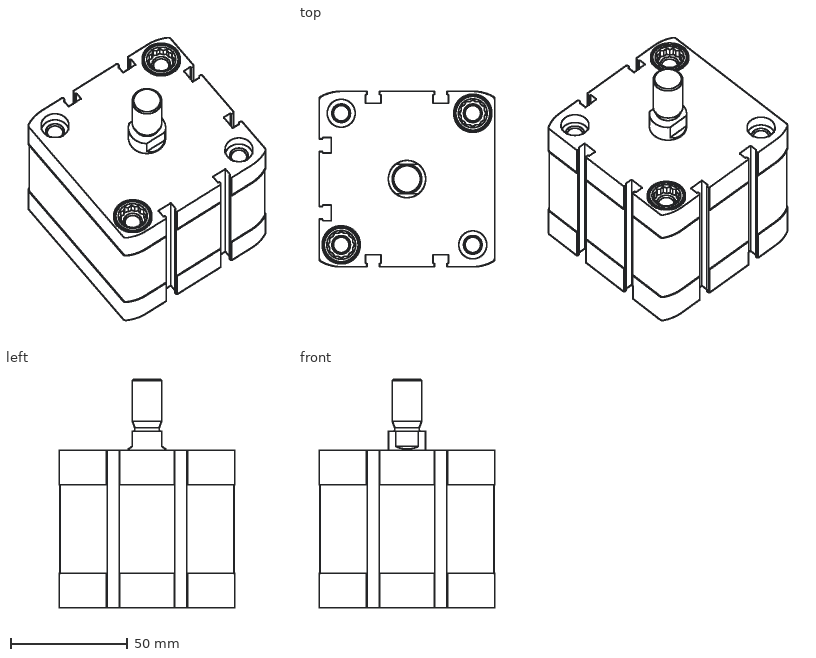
import cadquery as cq
import math

block_width = 75.5
block_height = 67.7
cap_height = 14.85
barrel_inset = 0.3
corner_arc_start = 28.25
corner_arc_radius = 18.0
corner_edge_radius = 1.5

slot_offset = 14.5
slot_mouth_width = 5.2
slot_inner_width = 6.6
slot_depth = 5.15
slot_lip_depth = 1.7
slot_lip_taper = 0.35
slot_mouth_chamfer = 0.3

hole_offset = 28.25
hole_diameter = 6.65
hole_mouth_diameter = 8.0
counterbore_diameter = 12.0
counterbore_depth = 5.0

recess_diameter = 16.4
head_diameter = 15.5
head_chamfer = 0.5
ring_gap_depth = 1.0
socket_depth = 4.3
socket_corner_diameter = 11.4
socket_mouth_diameter = 12.4
socket_mouth_depth = 1.0

rod_diameter = 16.0
shoulder_height = 8.15
flats_width = 12.7
flats_base = 1.6
flats_runout_angle = 33.0
thread_diameter = 12.7
thread_chamfer = 0.65
neck_diameter = 10.6
neck_top = 9.6
neck_foot_radius = 0.4
taper_top = 12.4
overall_height = 98.15
rod_height = overall_height - block_height

block_half = block_width / 2


def block_layer(base, height, inset):
    """Prism of the block outline, moved inwards by the inset."""
    half = block_half - inset
    radius = corner_arc_radius - inset
    run = half - corner_arc_start

    def arc_drop(distance):
        return radius - math.sqrt(radius**2 - distance**2)

    middle_x = corner_arc_start + run / 2
    middle_y = half - arc_drop(run / 2)
    end_y = half - arc_drop(run)
    prism = (
        cq.Workplane("XY", origin=(0, 0, base))
        .moveTo(-corner_arc_start, half)
        .lineTo(corner_arc_start, half)
        .threePointArc((middle_x, middle_y), (half, end_y))
        .lineTo(half, -end_y)
        .threePointArc((middle_x, -middle_y), (corner_arc_start, -half))
        .lineTo(-corner_arc_start, -half)
        .threePointArc((-middle_x, -middle_y), (-half, -end_y))
        .lineTo(-half, end_y)
        .threePointArc((-middle_x, middle_y), (-corner_arc_start, half))
        .close()
        .extrude(height)
    )
    return prism.edges("|Z and (<X or >X)").fillet(corner_edge_radius - inset)


def slot_cutter(position):
    """T-slot opening towards +Y, with a chamfered mouth and tapered lip undersides."""
    mouth = slot_mouth_width / 2
    inner = slot_inner_width / 2
    half_profile = [
        (mouth + slot_mouth_chamfer, block_half),
        (mouth, block_half - slot_mouth_chamfer),
        (mouth, block_half - slot_lip_depth + slot_lip_taper),
        (inner, block_half - slot_lip_depth),
        (inner, block_half - slot_depth),
    ]
    mirrored = [(-x, y) for x, y in reversed(half_profile)]
    profile = [(x + position, y) for x, y in half_profile + mirrored]
    return cq.Workplane("XY").polyline(profile).close().extrude(block_height)


def cone(base_diameter, top_diameter, base, height):
    """Truncated cone centred on the Z axis."""
    solid = cq.Solid.makeCone(base_diameter / 2, top_diameter / 2, height, cq.Vector(0, 0, base))
    return cq.Workplane(obj=solid)


def through_hole_cutter(floor):
    """Through hole whose mouth is countersunk at 45 degrees in the floor at the given height."""
    sink_depth = (hole_mouth_diameter - hole_diameter) / 2
    bore = cq.Workplane("XY").circle(hole_diameter / 2).extrude(floor)
    return bore.union(cone(hole_diameter, hole_mouth_diameter, floor - sink_depth, sink_depth))


def counterbored_hole_cutter():
    floor = block_height - counterbore_depth
    counterbore = (
        cq.Workplane("XY", origin=(0, 0, floor)).circle(counterbore_diameter / 2).extrude(counterbore_depth)
    )
    return through_hole_cutter(floor).union(counterbore)


def screw_head_cutter():
    """Ring gap around a chamfered screw head, twelve-point socket and through hole."""
    gap_base = block_height - ring_gap_depth
    head = (
        cq.Workplane("XY", origin=(0, 0, gap_base))
        .circle(head_diameter / 2)
        .extrude(ring_gap_depth)
        .faces(">Z")
        .chamfer(head_chamfer)
    )
    ring_gap = (
        cq.Workplane("XY", origin=(0, 0, gap_base))
        .circle(recess_diameter / 2)
        .extrude(ring_gap_depth)
        .cut(head)
    )
    socket_floor = block_height - socket_depth
    hexagon_turn = 30
    hexagon = (
        cq.Workplane("XY", origin=(0, 0, socket_floor))
        .polygon(6, socket_corner_diameter)
        .extrude(socket_depth)
    )
    socket = hexagon.union(hexagon.rotate((0, 0, 0), (0, 0, 1), hexagon_turn))
    socket_neck_diameter = socket_corner_diameter * math.cos(math.radians(hexagon_turn))
    flare = cone(
        socket_neck_diameter, socket_mouth_diameter, block_height - socket_mouth_depth, socket_mouth_depth
    )
    return through_hole_cutter(socket_floor).union(socket).union(flare).union(ring_gap)


def make_housing():
    barrel_height = block_height - 2 * cap_height
    housing = (
        block_layer(0, cap_height, 0)
        .union(block_layer(cap_height, barrel_height, barrel_inset))
        .union(block_layer(block_height - cap_height, cap_height, 0))
    )

    for side_angle in (0, 90, 180):
        for position in (-slot_offset, slot_offset):
            housing = housing.cut(slot_cutter(position).rotate((0, 0, 0), (0, 0, 1), side_angle))

    for side in (-1, 1):
        place = side * hole_offset
        housing = housing.cut(counterbored_hole_cutter().translate((place, -place, 0)))
        housing = housing.cut(screw_head_cutter().translate((place, place, 0)))
    return housing


def make_rod():
    rod_radius = rod_diameter / 2
    neck_radius = neck_diameter / 2
    thread_radius = thread_diameter / 2
    fillet_bend = neck_foot_radius * (1 - math.sqrt(0.5))
    rod = (
        cq.Workplane("XZ")
        .lineTo(rod_radius, 0)
        .lineTo(rod_radius, shoulder_height)
        .lineTo(neck_radius + neck_foot_radius, shoulder_height)
        .threePointArc(
            (neck_radius + fillet_bend, shoulder_height + fillet_bend),
            (neck_radius, shoulder_height + neck_foot_radius),
        )
        .lineTo(neck_radius, neck_top)
        .lineTo(thread_radius, taper_top)
        .lineTo(thread_radius, rod_height - thread_chamfer)
        .lineTo(thread_radius - thread_chamfer, rod_height)
        .lineTo(0, rod_height)
        .close()
        .revolve(360, (0, 0, 0), (0, 1, 0))
    )

    flat_distance = flats_width / 2
    runout_drop = (rod_radius - flat_distance) * math.tan(math.radians(flats_runout_angle))
    flat_cutter = (
        cq.Workplane("YZ")
        .moveTo(flat_distance, flats_base)
        .lineTo(rod_radius, flats_base - runout_drop)
        .lineTo(rod_radius, shoulder_height)
        .lineTo(flat_distance, shoulder_height)
        .close()
        .extrude(rod_radius, both=True)
    )
    rod = rod.cut(flat_cutter).cut(flat_cutter.mirror("XZ"))
    return rod.translate((0, 0, block_height))


housing = make_housing()
rod = make_rod()

result = cq.Compound.makeCompound([housing.val(), rod.val()])